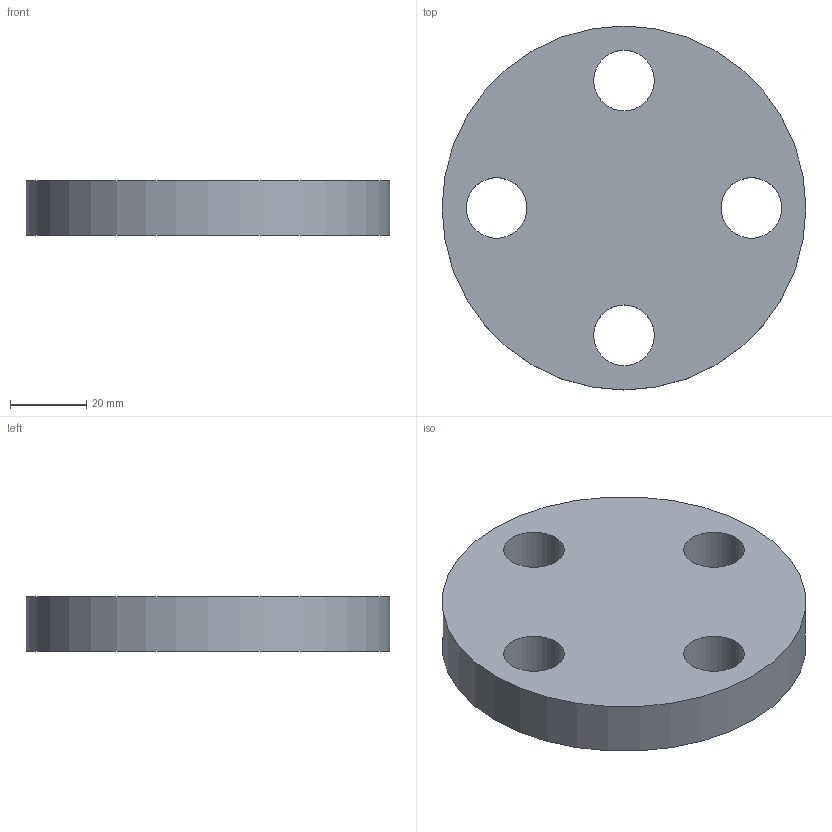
import cadquery as cq

flange_diameter = 95.25
flange_thickness = 14.22

bolt_circle_diameter = 66.675
bolt_hole_diameter = 15.875
bolt_hole_count = 4


def make_disc():
    """Plain round disc standing on the XY plane."""
    return cq.Workplane("XY").circle(flange_diameter / 2).extrude(flange_thickness)


def make_bolt_holes():
    """Cylinders that pass through the full thickness, one per bolt."""
    return (
        cq.Workplane("XY")
        .polarArray(bolt_circle_diameter / 2, 0, 360, bolt_hole_count)
        .circle(bolt_hole_diameter / 2)
        .extrude(flange_thickness)
    )


result = make_disc().cut(make_bolt_holes())